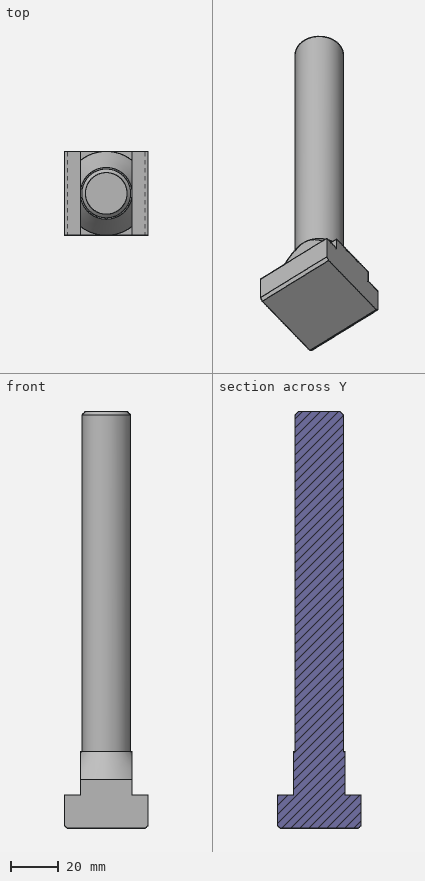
import cadquery as cq

head_width = 35.0
total_height = 174.0

head_top = 14.0
neck_top = 20.4
collar_top = 32.0

neck_width = 21.6
shank_diameter = 20.376
collar_top_diameter = neck_width

head_chamfer = 1.25
shank_chamfer = 1.5


def make_head():
    """Square block with its two lower long edges (along Y) chamfered."""
    block = cq.Workplane("XY").box(head_width, head_width, head_top, centered=(True, True, False))
    return block.faces("<Z").edges("|Y").chamfer(head_chamfer)


def make_neck():
    """Narrow rib along Y on top of the head, the part that slides in the slot."""
    return (
        cq.Workplane("XY")
        .workplane(offset=head_top)
        .rect(neck_width, head_width)
        .extrude(neck_top - head_top)
    )


def make_collar():
    """Cone from the head width up to the shank, cut flat at both sides of the neck."""
    collar_height = collar_top - neck_top
    cone = cq.Workplane(
        cq.Solid.makeCone(
            head_width / 2,
            collar_top_diameter / 2,
            collar_height,
            pnt=cq.Vector(0, 0, neck_top),
        )
    )
    neck_slab = (
        cq.Workplane("XY")
        .workplane(offset=neck_top)
        .rect(neck_width, head_width)
        .extrude(collar_height)
    )
    return cone.intersect(neck_slab)


def make_shank():
    """Plain round shank with a chamfered tip."""
    return (
        cq.Workplane("XY")
        .workplane(offset=collar_top)
        .circle(shank_diameter / 2)
        .extrude(total_height - collar_top)
        .faces(">Z")
        .chamfer(shank_chamfer)
    )


result = make_head().union(make_neck()).union(make_collar()).union(make_shank()).clean()